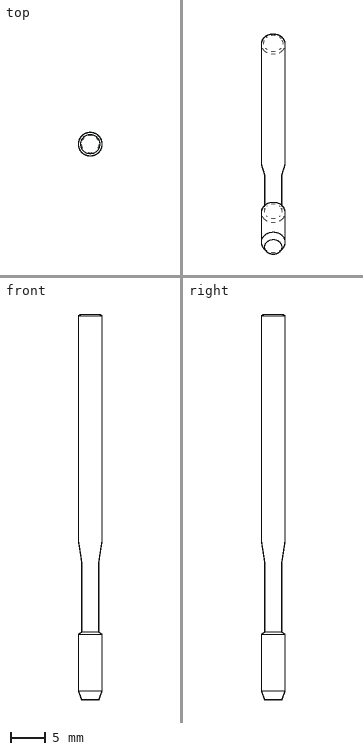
import cadquery as cq

overall_length = 56.0
tool_diameter = 3.5
neck_diameter = 2.5

tip_cone_height = 1.3
head_shoulder_z = 9.5
head_top_z = 9.85

neck_top_z = 20.0
shank_bottom_z = 23.1
shank_chamfer_width = 0.35
shank_chamfer_height = 0.195

tool_radius = tool_diameter / 2
neck_radius = neck_diameter / 2


def revolve_about_z(outline):
    """Revolve (radius, height) points about Z."""
    profile = cq.Workplane("YZ").polyline([(-radius, height) for radius, height in outline]).close()
    return profile.revolve(360, (0, 0, 0), (0, 1, 0))


def make_cutting_head():
    """Cylindrical head with a tapered tip and a shallow cone up to the neck."""
    return revolve_about_z([
        (0, 0),
        (neck_radius, 0),
        (tool_radius, tip_cone_height),
        (tool_radius, head_shoulder_z),
        (neck_radius, head_top_z),
        (0, head_top_z),
    ])


def make_shank():
    """Slim neck that widens through a cone into a shank with a chamfered end."""
    return revolve_about_z([
        (0, head_top_z),
        (neck_radius, head_top_z),
        (neck_radius, neck_top_z),
        (tool_radius, shank_bottom_z),
        (tool_radius, overall_length - shank_chamfer_height),
        (tool_radius - shank_chamfer_width, overall_length),
        (0, overall_length),
    ])


cutting_head = make_cutting_head()
shank = make_shank()

result = cq.Compound.makeCompound([cutting_head.val(), shank.val()])